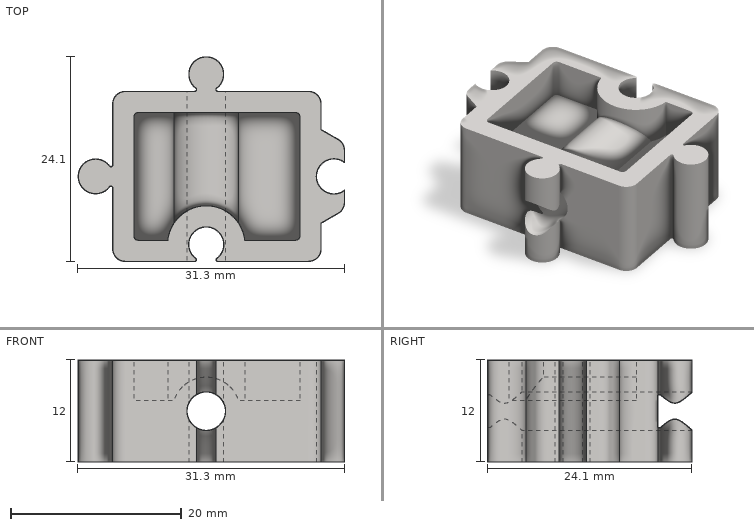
import cadquery as cq
import math

block_length = 24.5
block_width = 20.0
height = 12.0
block_corner_radius = 1.5

knob_radius = 2.05
knob_offset = 2.0
neck_fillet = 0.2
knob_column_x = 11.0
knob_row_y = block_width / 2

wall = 2.5
pocket_floor_z = 7.25
pocket_corner_radius = 0.5
socket_wall = 2.5

bore_diameter = 4.5
bore_z = height / 2
casing_wall = 1.75
casing_radius = bore_diameter / 2 + casing_wall

clip_reach = 2.75
clip_base_half_width = 5.5
clip_taper_angle = 30.0
clip_corner_radius = 1.5
clip_socket_offset = 1.5


def cylinder(x, y, radius):
    """Full-height vertical cylinder."""
    return cq.Workplane("XY").center(x, y).circle(radius).extrude(height)


def along_y(radius, start_y, end_y):
    """Horizontal cylinder on the bore axis."""
    circle = cq.Workplane("XZ", origin=(knob_column_x, start_y, bore_z)).circle(radius)
    return circle.extrude(start_y - end_y)


def knob(x, y, angle):
    """Full-height knob rooted on a wall at (x, y); it points along +Y before turning by angle."""
    fillet_x = math.sqrt((knob_radius + neck_fillet) ** 2 - (knob_offset - neck_fillet) ** 2)
    share = knob_radius / (knob_radius + neck_fillet)
    tangent_x = fillet_x * share
    tangent_y = knob_offset + (neck_fillet - knob_offset) * share
    neck_x = fillet_x - neck_fillet
    profile = (
        cq.Workplane("XY")
        .moveTo(-fillet_x, 0)
        .lineTo(fillet_x, 0)
        .threePointArc((neck_x, neck_fillet), (tangent_x, tangent_y))
        .threePointArc((0, knob_offset + knob_radius), (-tangent_x, tangent_y))
        .threePointArc((-neck_x, neck_fillet), (-fillet_x, 0))
        .close()
    )
    return profile.extrude(height).rotate((0, 0, 0), (0, 0, 1), angle).translate((x, y, 0))


def block():
    """Rounded rectangular block."""
    box = cq.Workplane("XY").box(block_length, block_width, height, centered=False)
    return box.edges("|Z").fillet(block_corner_radius)


def clip():
    """Tapered clip on the right wall, open to the right through its socket."""
    tip_half_width = clip_base_half_width - clip_reach * math.tan(math.radians(clip_taper_angle))
    body = (
        cq.Workplane("XY")
        .polyline(
            [
                (0, -clip_base_half_width),
                (clip_reach, -tip_half_width),
                (clip_reach, tip_half_width),
                (0, clip_base_half_width),
            ]
        )
        .close()
        .extrude(height)
        .edges("|Z and >X")
        .fillet(clip_corner_radius)
    )
    return body.translate((block_length, knob_row_y, 0))


def pocket():
    """Pocket volume, leaving the socket surround and the bore casing standing."""
    cavity = (
        cq.Workplane("XY")
        .box(block_length - 2 * wall, block_width - 2 * wall, height - pocket_floor_z, centered=False)
        .edges("|Z")
        .fillet(pocket_corner_radius)
        .translate((wall, wall, pocket_floor_z))
    )
    surround = cylinder(knob_column_x, knob_offset, knob_radius + socket_wall)
    return cavity.cut(surround).cut(along_y(casing_radius, 0, block_width))


knob_tip_y = block_width + knob_offset + knob_radius

result = block().union(clip())
result = result.union(knob(knob_column_x, block_width, 0))
result = result.union(knob(0, knob_row_y, 90))
result = result.cut(pocket())
result = result.cut(knob(knob_column_x, 0, 0))
result = result.cut(cylinder(block_length + clip_socket_offset, knob_row_y, knob_radius))
result = result.cut(along_y(bore_diameter / 2, 0, knob_tip_y))